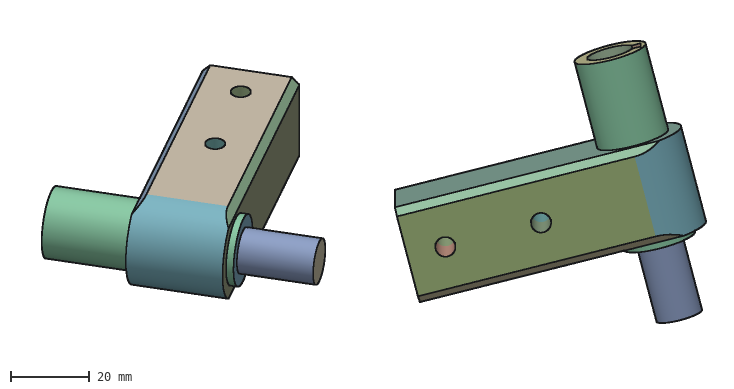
import cadquery as cq

arm_size = 25.4
nose_radius = arm_size / 2
arm_length = 75.0
arm_back = arm_length - nose_radius
arm_chamfer = 2.0
mount_hole_diameter = 5.1
mount_hole_setbacks = (10.0, 35.0)

shaft_diameter = 18.7
journal_diameter = 12.0
journal_length = 20.0
socket_overhang = 23.0
collar_overhang = 1.95
socket_diameter = journal_diameter
socket_depth = 20.0
keyway_width = 4.0
keyway_reach = 8.0

shaft_start = -arm_size / 2 - socket_overhang
shaft_length = socket_overhang + arm_size + collar_overhang


def rod(diameter, start, length):
    """Cylinder on the X axis, running toward +X from start."""
    return cq.Workplane("YZ", origin=(start, 0, 0)).circle(diameter / 2).extrude(length)


def make_arm():
    bar = (
        cq.Workplane("XZ", origin=(0, arm_back, 0))
        .rect(arm_size, arm_size)
        .extrude(arm_length)
        .edges("|Y")
        .chamfer(arm_chamfer)
    )
    side_outline = (
        cq.Workplane("YZ")
        .moveTo(arm_back, nose_radius)
        .lineTo(0, nose_radius)
        .threePointArc((-nose_radius, 0), (0, -nose_radius))
        .lineTo(arm_back, -nose_radius)
        .close()
        .extrude(arm_size / 2, both=True)
    )
    mount_holes = (
        cq.Workplane("XY")
        .pushPoints([(0, arm_back - setback) for setback in mount_hole_setbacks])
        .circle(mount_hole_diameter / 2)
        .extrude(arm_size / 2, both=True)
    )
    shaft_bore = rod(shaft_diameter, -arm_size / 2, arm_size)
    return bar.intersect(side_outline).cut(mount_holes).cut(shaft_bore)


def make_shaft():
    body = rod(shaft_diameter, shaft_start, shaft_length)
    journal = rod(journal_diameter, shaft_start + shaft_length, journal_length)
    socket = rod(socket_diameter, shaft_start, socket_depth)
    keyway = cq.Workplane("XY").box(
        socket_depth, keyway_reach, keyway_width, centered=(False, False, True)
    ).translate((shaft_start, -keyway_reach, 0))
    return body.union(journal).cut(socket).cut(keyway)


arm = make_arm()
shaft = make_shaft()
result = cq.Compound.makeCompound([arm.solids().val(), shaft.solids().val()])